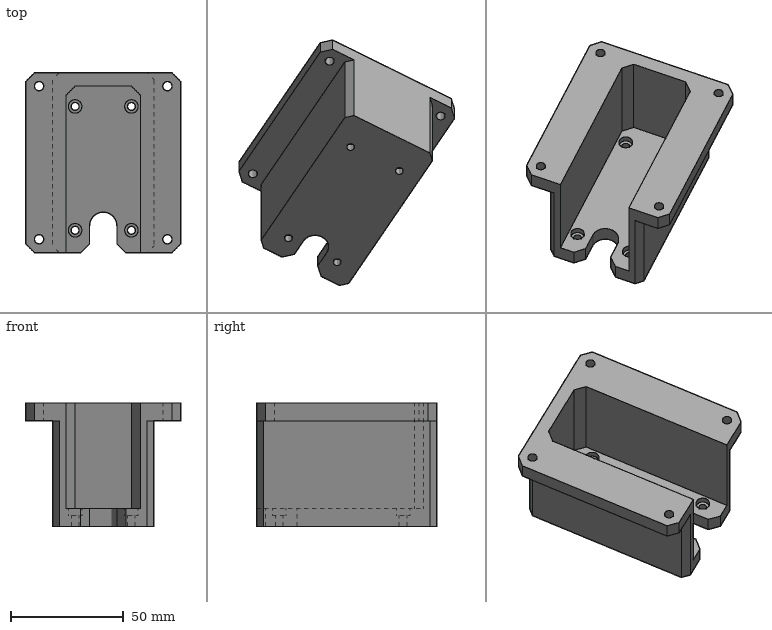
import cadquery as cq

flange_width = 69.0
length = 80.0
height = 55.0
flange_thickness = 8.0
flange_chamfer = 4.0
back_y = length / 2
front_y = -length / 2

body_width = 45.0
body_chamfer = 3.0

wall = 6.0
floor_thickness = 8.0
pocket_width = body_width - 2 * wall
pocket_length = length - wall
pocket_chamfer = 4.0

notch_width = 12.0
notch_radius = notch_width / 2
notch_depth = 18.0
notch_chamfer = 4.0

flange_hole_diameter = 4.0
flange_hole_inset = 6.0

floor_hole_diameter = 3.4
counterbore_diameter = 6.0
counterbore_depth = 3.0
floor_hole_spacing_x = 25.0
floor_hole_front_offset = 10.0
floor_hole_back_offset = 15.0


def chamfered_block(width, block_height, chamfer):
    """Full-length block standing on Z = 0 with all four vertical edges chamfered."""
    block = cq.Workplane("XY").box(width, length, block_height, centered=(True, True, False))
    return block.edges("|Z").chamfer(chamfer)


def make_pocket():
    """Volume of the pocket, with its two back corners chamfered."""
    depth = height - floor_thickness
    block = cq.Workplane("XY").box(pocket_width, pocket_length, depth, centered=(True, False, False))
    block = block.edges("|Z and >Y").chamfer(pocket_chamfer)
    return block.translate((0, front_y, floor_thickness))


def make_notch():
    """Volume of the round-ended floor notch, flared by a chamfer at its mouth."""
    arc_start_y = front_y + notch_depth - notch_radius
    flare_end_y = front_y + notch_chamfer
    mouth_x = notch_radius + notch_chamfer
    return (
        cq.Workplane("XY")
        .moveTo(-mouth_x, front_y)
        .lineTo(-notch_radius, flare_end_y)
        .lineTo(-notch_radius, arc_start_y)
        .threePointArc((0, front_y + notch_depth), (notch_radius, arc_start_y))
        .lineTo(notch_radius, flare_end_y)
        .lineTo(mouth_x, front_y)
        .close()
        .extrude(floor_thickness)
    )


def drill_flange(part):
    """Plain holes near the four corners of the flange."""
    spacing_x = flange_width - 2 * flange_hole_inset
    spacing_y = length - 2 * flange_hole_inset
    drills = (
        cq.Workplane("XY")
        .workplane(offset=height - flange_thickness)
        .rarray(spacing_x, spacing_y, 2, 2)
        .circle(flange_hole_diameter / 2)
        .extrude(flange_thickness)
    )
    return part.cut(drills)


def drill_floor(part):
    """Four holes through the floor, counterbored from inside the pocket."""
    hole_x = floor_hole_spacing_x / 2
    hole_front_y = front_y + floor_hole_front_offset
    hole_back_y = back_y - floor_hole_back_offset
    centres = [(x, y) for x in (-hole_x, hole_x) for y in (hole_front_y, hole_back_y)]
    return (
        part.copyWorkplane(cq.Workplane("XY", origin=(0, 0, floor_thickness)))
        .pushPoints(centres)
        .cboreHole(floor_hole_diameter, counterbore_diameter, counterbore_depth, floor_thickness)
    )


body = chamfered_block(body_width, height, body_chamfer)
flange = chamfered_block(flange_width, flange_thickness, flange_chamfer)
flange = flange.translate((0, 0, height - flange_thickness))

result = body.union(flange).cut(make_pocket()).cut(make_notch())
result = drill_flange(result)
result = drill_floor(result)